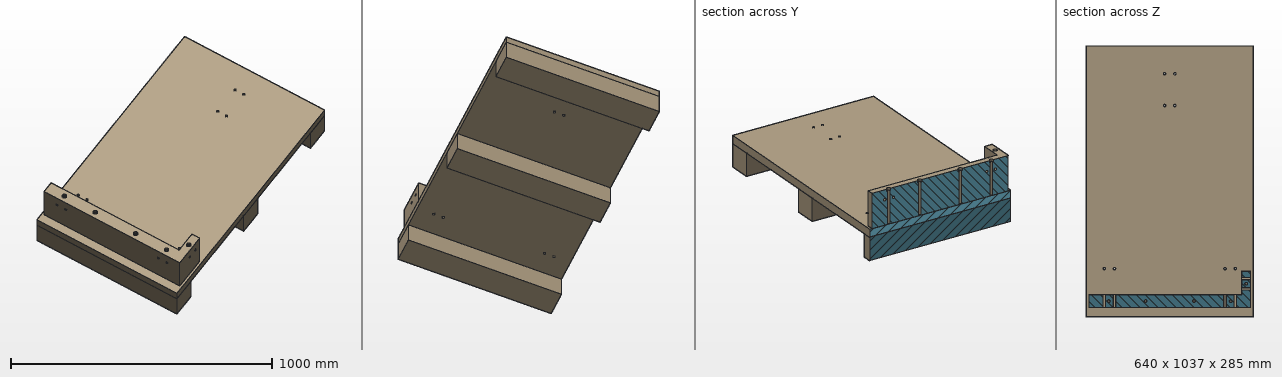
import cadquery as cq

PLATE_WIDTH = 640.0
PLATE_LENGTH = 1037.0
PLATE_THICKNESS = 35.0

BEAM_SIZE = 100.0

STOP_HEIGHT = 150.0
WALL_LENGTH = 620.0
WALL_THICKNESS = 50.0
WALL_SETBACK = 35.0
RETURN_LENGTH = 90.0
RETURN_THICKNESS = 35.0
RETURN_HOLE_OFFSET = 41.0

SMALL_HOLE_DIAMETER = 8.0
PAIR_PITCH = 39.0
SIDE_PAIR_X = 231.0
FRONT_PAIR_Y = -334.0
REAR_PAIR_YS = (290.0, 412.0)
STOP_PAIR_DEPTH = 44.0

SCREW_HOLE_DIAMETER = 9.0
COUNTERBORE_DIAMETER = 17.0
COUNTERBORE_DEPTH = 9.0
OUTER_SCREW_X = 233.0
INNER_SCREW_X = 92.0

plate_top = BEAM_SIZE + PLATE_THICKNESS
stop_top = plate_top + STOP_HEIGHT
wall_front = -PLATE_LENGTH / 2 + WALL_SETBACK
wall_middle = wall_front + WALL_THICKNESS / 2
wall_back = wall_front + WALL_THICKNESS
return_middle_x = WALL_LENGTH / 2 - RETURN_THICKNESS / 2
return_middle_y = wall_back + RETURN_LENGTH / 2
return_hole_y = wall_back + RETURN_HOLE_OFFSET
stop_pair_z = stop_top - STOP_PAIR_DEPTH


def block(size_x, size_y, size_z, center_x, center_y, bottom):
    """Rectangular block standing on the given bottom height."""
    base = cq.Workplane("XY", origin=(center_x, center_y, bottom))
    return base.box(size_x, size_y, size_z, centered=(True, True, False))


def pair_points(center, across):
    """Two points either side of a centre along the first coordinate."""
    return [(center - PAIR_PITCH / 2, across), (center + PAIR_PITCH / 2, across)]


def drill(plane, points, length):
    """Cutters centred on a principal plane, long enough to pass through."""
    circles = cq.Workplane(plane).pushPoints(points).circle(SMALL_HOLE_DIAMETER / 2)
    return circles.extrude(length, both=True)


def make_plate():
    plate = block(PLATE_WIDTH, PLATE_LENGTH, PLATE_THICKNESS, 0, 0, BEAM_SIZE)
    points = []
    for side in (-1, 1):
        points += pair_points(side * SIDE_PAIR_X, FRONT_PAIR_Y)
    for rear_y in REAR_PAIR_YS:
        points += pair_points(0, rear_y)
    return plate.cut(drill("XY", points, plate_top))


def make_beam(center_y):
    return block(PLATE_WIDTH, BEAM_SIZE, BEAM_SIZE, 0, center_y, 0)


def make_stop():
    wall = block(WALL_LENGTH, WALL_THICKNESS, STOP_HEIGHT, 0, wall_middle, plate_top)
    end_return = block(
        RETURN_THICKNESS, RETURN_LENGTH, STOP_HEIGHT, return_middle_x, return_middle_y, plate_top
    )

    wall_points = []
    for side in (-1, 1):
        wall_points += pair_points(side * SIDE_PAIR_X, stop_pair_z)
    wall = wall.cut(drill("XZ", wall_points, PLATE_LENGTH))
    return_points = pair_points(return_hole_y, stop_pair_z)
    end_return = end_return.cut(drill("YZ", return_points, PLATE_WIDTH))

    stop = wall.union(end_return, clean=False)

    screw_points = [(return_middle_x, return_hole_y)]
    for screw_x in (-OUTER_SCREW_X, -INNER_SCREW_X, INNER_SCREW_X, OUTER_SCREW_X):
        screw_points.append((screw_x, wall_middle))
    top = cq.Workplane("XY", origin=(0, 0, stop_top)).pushPoints(screw_points)
    screw_holes = top.circle(SCREW_HOLE_DIAMETER / 2).extrude(-STOP_HEIGHT)
    counterbores = top.circle(COUNTERBORE_DIAMETER / 2).extrude(-COUNTERBORE_DEPTH)
    return stop.cut(screw_holes, clean=False).cut(counterbores, clean=False)


plate = make_plate()
stop = make_stop()
end_beam_y = (PLATE_LENGTH - BEAM_SIZE) / 2
beams = [make_beam(center_y) for center_y in (-end_beam_y, 0, end_beam_y)]

result = cq.Compound.makeCompound(
    [plate.val(), *stop.solids().vals(), *[beam.val() for beam in beams]]
)